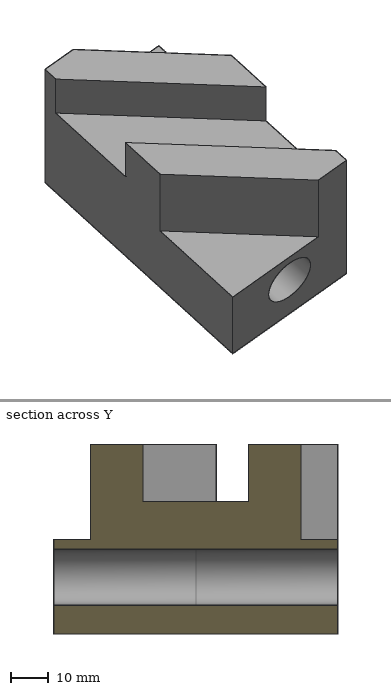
import cadquery as cq

length = 75.0
width = 40.0
height = 50.0

wall_angle = 46.0
channel_width = width / 2
wall_thickness = width / 4
wall_outer_span = channel_width + 2 * wall_thickness
shoulder_height = height / 2
channel_depth = 15.0

bore_diameter = 14.7
bore_height = 15.0


def diagonal_bar(bar_width, bottom):
    """Bar along the wall direction, from bottom to the top of the block."""
    bar_length = 2 * (length + width)
    bar = cq.Workplane("XY").box(bar_length, bar_width, height - bottom, centered=(True, True, False))
    return bar.rotate((0, 0, 0), (0, 0, 1), wall_angle).translate((0, 0, bottom))


block = cq.Workplane("XY").box(length, width, height, centered=(True, True, False))

base = cq.Workplane("XY").box(length, width, shoulder_height, centered=(True, True, False))
ridge = block.intersect(diagonal_bar(wall_outer_span, shoulder_height))
body = base.union(ridge)

body = body.cut(diagonal_bar(channel_width, height - channel_depth))

bore = (
    cq.Workplane("YZ")
    .center(0, bore_height)
    .circle(bore_diameter / 2)
    .extrude(length / 2, both=True)
)
result = body.cut(bore)